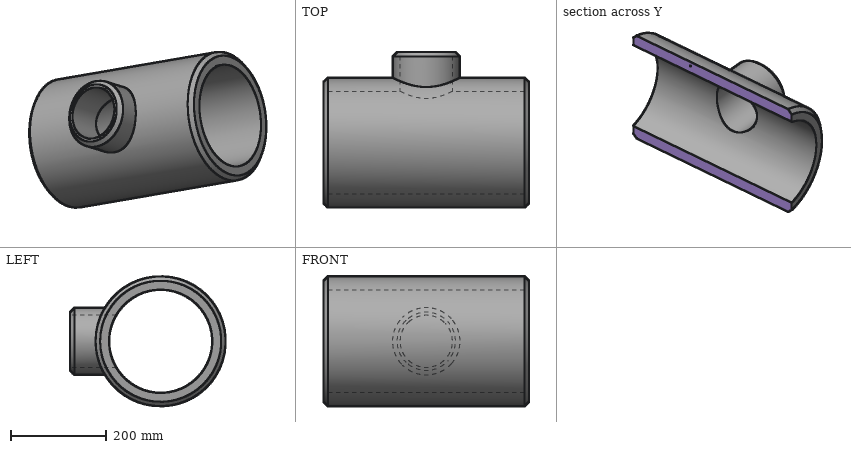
import cadquery as cq

run_length = 431.8
run_outer_diameter = 273.05
run_wall = 28.58

branch_reach = 190.5
branch_outer_diameter = 141.3
branch_wall = 15.88

bevel = 9.5

run_plane = cq.Plane(origin=(-run_length / 2, 0, 0), xDir=(0, 1, 0), normal=(1, 0, 0))
branch_plane = cq.Plane(origin=(0, 0, 0), xDir=(1, 0, 0), normal=(0, 1, 0))


def round_bar(plane, length, diameter):
    """Solid round bar from the plane's origin along its normal."""
    return cq.Workplane(plane).circle(diameter / 2).extrude(length)


run_body = round_bar(run_plane, run_length, run_outer_diameter)
run_body = run_body.faces("<X or >X").chamfer(bevel)
branch_body = round_bar(branch_plane, branch_reach, branch_outer_diameter)
branch_body = branch_body.faces(">Y").chamfer(bevel)

run_bore = round_bar(run_plane, run_length, run_outer_diameter - 2 * run_wall)
branch_bore = round_bar(branch_plane, branch_reach, branch_outer_diameter - 2 * branch_wall)

result = run_body.union(branch_body).cut(run_bore).cut(branch_bore)